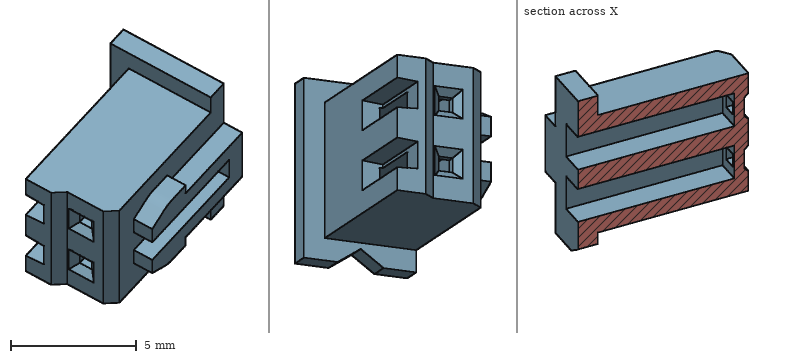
import cadquery as cq
import math


length = 8.0
flange_width = 4.9
flange_height = 7.5
flange_thickness = 0.9
flange_overhang = 0.9
body_height = 5.65
body_left = flange_overhang
body_right = flange_width
flange_front = length - flange_thickness

step_depth = 0.4
step_run = 0.5
step_start = 2.14
corner_start = body_right - step_run

notch_x = 2.47
notch_half_width = 1.0
notch_depth = 0.67

contact_count = 2
pitch = 2.5

entry_x = 3.33
entry_size = 1.22
pin_hole_size = 0.6
lead_in_depth = (entry_size - pin_hole_size) / 2

cavity_front = 1.03
cavity_width = entry_size
cavity_height = 1.55

channel_left = 1.65
channel_height = 0.82

slot_length = 3.4
slot_floor_x = 1.79
slot_mouth_height = 1.24
slot_floor_height = 1.12

latch_thickness = 0.9
latch_front = 1.8
latch_shoulder_y = 4.1
latch_half_height = 1.84
latch_tip_half_height = 1.35
latch_gap = 1.08
latch_corner_y = 2.88
latch_corner_radius = 1.3


def box(x_range, y_range, z_range):
    """Box spanning the given (low, high) limits on each axis."""
    lows, highs = zip(x_range, y_range, z_range)
    sizes = [high - low for low, high in zip(lows, highs)]
    return cq.Workplane("XY").box(*sizes, centered=False).translate(lows)


def centred(size, centre=0.0):
    """Limits of a span of the given size about its centre."""
    return (centre - size / 2, centre + size / 2)


def make_flange():
    bottom = -flange_height / 2
    plate = box((0, flange_width), (flange_front, length), centred(flange_height))
    notch = (
        cq.Workplane("XZ", origin=(0, length, 0))
        .moveTo(notch_x - notch_half_width, bottom)
        .lineTo(notch_x, bottom + notch_depth)
        .lineTo(notch_x + notch_half_width, bottom)
        .close()
        .extrude(flange_thickness)
    )
    return plate.cut(notch)


def make_body():
    outline = [
        (body_left, 0),
        (step_start, 0),
        (step_start + step_run, step_depth),
        (corner_start, step_depth),
        (body_right, 2 * step_depth),
        (body_right, length),
        (body_left, length),
    ]
    return (
        cq.Workplane("XY", origin=(0, 0, -body_height / 2))
        .polyline(outline)
        .close()
        .extrude(body_height)
    )


def make_latch_arm():
    """Upper latch arm: a hook with a rounded, sloping nose."""
    slope = math.atan2(latch_half_height - latch_tip_half_height, latch_corner_y - latch_front)
    tangent = latch_corner_radius * math.tan(slope / 2)
    arc_start = (
        latch_corner_y - tangent * math.cos(slope),
        latch_half_height - tangent * math.sin(slope),
    )
    arc_end = (latch_corner_y + tangent, latch_half_height)
    arc_centre = (arc_end[0], latch_half_height - latch_corner_radius)
    arc_middle = (
        arc_centre[0] - latch_corner_radius * math.sin(slope / 2),
        arc_centre[1] + latch_corner_radius * math.cos(slope / 2),
    )
    return (
        cq.Workplane("YZ", origin=(body_right, 0, 0))
        .moveTo(latch_front, latch_gap / 2)
        .lineTo(latch_front, latch_tip_half_height)
        .lineTo(*arc_start)
        .threePointArc(arc_middle, arc_end)
        .lineTo(latch_shoulder_y, latch_half_height)
        .lineTo(latch_shoulder_y, latch_tip_half_height)
        .lineTo(length, latch_tip_half_height)
        .lineTo(length, latch_gap / 2)
        .close()
        .extrude(latch_thickness)
    )


def make_latch():
    """Two mirrored arms joined by a bridge as thick as the flange."""
    upper_arm = make_latch_arm()
    lower_arm = upper_arm.mirror("XY")
    bridge = box(
        (body_right, body_right + latch_thickness),
        (flange_front, length),
        centred(latch_gap),
    )
    return upper_arm.union(lower_arm).union(bridge)


def make_pin_entry(z):
    lead_in = (
        cq.Workplane("XZ", origin=(entry_x, step_depth, z))
        .rect(entry_size, entry_size)
        .workplane(offset=-lead_in_depth)
        .rect(pin_hole_size, pin_hole_size)
        .loft(ruled=True)
    )
    hole = box(
        centred(pin_hole_size, entry_x),
        (step_depth, cavity_front),
        centred(pin_hole_size, z),
    )
    return lead_in.union(hole)


def make_cavity(z):
    """Contact cavity with its lance channel on the -X side."""
    y_range = (cavity_front, length)
    chamber = box(centred(cavity_width, entry_x), y_range, centred(cavity_height, z))
    channel = box((channel_left, entry_x), y_range, centred(channel_height, z))
    return chamber.union(channel)


def make_side_slot(z):
    section = [
        (body_left, -slot_mouth_height / 2),
        (slot_floor_x, -slot_floor_height / 2),
        (slot_floor_x, slot_floor_height / 2),
        (body_left, slot_mouth_height / 2),
    ]
    return (
        cq.Workplane("XZ", origin=(0, 0, z))
        .polyline(section)
        .close()
        .extrude(-slot_length)
    )


result = make_flange().union(make_body()).union(make_latch())
for index in range(contact_count):
    contact_z = (index - (contact_count - 1) / 2) * pitch
    result = result.cut(make_pin_entry(contact_z))
    result = result.cut(make_cavity(contact_z))
    result = result.cut(make_side_slot(contact_z))